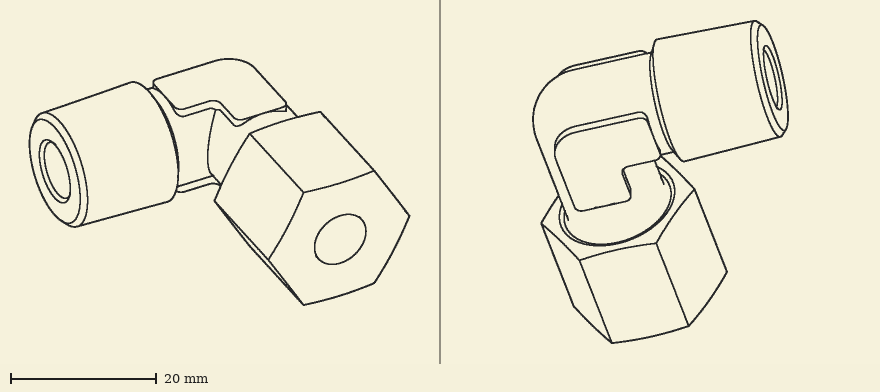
import cadquery as cq
import math


body_radius = 7.0
bore_radius = 4.0

pad_half_width = 4.0
pad_reach = 10.0
pad_corner_radius = 1.0
pad_inner_radius = 1.2
pad_height = body_radius

thread_end = 27.0
shoulder_start = 11.5
thread_large_radius = 8.59
shoulder_angle = math.radians(30)
thread_taper = 1 / 32
thread_end_chamfer = 0.75
bore_chamfer = 0.5

nut_start = 16.0
nut_length = 16.5
nut_end = nut_start + nut_length
nut_across_flats = 19.0
nut_corner_radius = nut_across_flats / math.sqrt(3)
nut_chamfer_angle = math.radians(15)

flare_start = 15.4
flare_radius = 0.6
flare_angle = math.radians(45)
recess_mouth_radius = 8.25
recess_floor_radius = 7.65


def make_elbow():
    """Plain arm along +X and spherical corner."""
    arm = cq.Workplane("YZ").circle(body_radius).extrude(nut_start)
    return arm.union(cq.Workplane("XY").sphere(body_radius))


def make_threaded_arm():
    """Arm along -Y: plain neck, conical shoulder, tapered thread and end chamfer."""
    shoulder_length = (thread_large_radius - body_radius) * math.tan(shoulder_angle)
    thread_start = shoulder_start + shoulder_length
    chamfer_start = thread_end - thread_end_chamfer
    thread_small_radius = thread_large_radius - (chamfer_start - thread_start) * thread_taper
    profile = (
        cq.Workplane("XY")
        .lineTo(body_radius, 0)
        .lineTo(body_radius, -shoulder_start)
        .lineTo(thread_large_radius, -thread_start)
        .lineTo(thread_small_radius, -chamfer_start)
        .lineTo(thread_small_radius - thread_end_chamfer, -thread_end)
        .lineTo(0, -thread_end)
        .close()
    )
    return profile.revolve(360, (0, 0, 0), (0, 1, 0))


def make_pads():
    """L-shaped block whose flat top and bottom stand out of the round arms."""
    outline = (
        cq.Workplane("XY", origin=(0, 0, -pad_height))
        .moveTo(-pad_half_width, -pad_reach)
        .lineTo(pad_half_width, -pad_reach)
        .lineTo(pad_half_width, -pad_half_width)
        .lineTo(pad_reach, -pad_half_width)
        .lineTo(pad_reach, pad_half_width)
        .lineTo(0, pad_half_width)
        .radiusArc((-pad_half_width, 0), -pad_half_width)
        .close()
    )
    block = outline.extrude(2 * pad_height)
    inner_corner = cq.NearestToPointSelector((pad_half_width, -pad_half_width, 0))
    block = block.edges("|Z").edges(inner_corner).fillet(pad_inner_radius)
    for x, y in (
        (-pad_half_width, -pad_reach),
        (pad_half_width, -pad_reach),
        (pad_reach, -pad_half_width),
        (pad_reach, pad_half_width),
    ):
        arm_corner = cq.NearestToPointSelector((x, y, 0))
        block = block.edges("|Z").edges(arm_corner).fillet(pad_corner_radius)
    return block


def make_nut():
    """Hexagon with both ends chamfered by a cone starting at the across-flats circle."""
    flat_radius = nut_across_flats / 2
    chamfer_length = (nut_corner_radius - flat_radius) * math.tan(nut_chamfer_angle)
    hexagon = (
        cq.Workplane("YZ", origin=(nut_start, 0, 0))
        .polygon(6, 2 * nut_corner_radius)
        .extrude(nut_length)
    )
    envelope = (
        cq.Workplane("XY")
        .moveTo(nut_start, 0)
        .lineTo(nut_start, flat_radius)
        .lineTo(nut_start + chamfer_length, nut_corner_radius)
        .lineTo(nut_end - chamfer_length, nut_corner_radius)
        .lineTo(nut_end, flat_radius)
        .lineTo(nut_end, 0)
        .close()
        .revolve(360, (0, 0, 0), (1, 0, 0))
    )
    return hexagon.intersect(envelope)


def make_recessed_nut():
    """Nut with a conical mouth around the arm, which flares into a cone to meet the floor of the mouth."""
    cone_start_x = flare_start + flare_radius * math.sin(flare_angle)
    cone_start_radius = body_radius + flare_radius * (1 - math.cos(flare_angle))
    floor_x = cone_start_x + (recess_floor_radius - cone_start_radius) / math.tan(flare_angle)
    mouth = (
        cq.Workplane("XY")
        .moveTo(nut_start, 0)
        .lineTo(nut_start, recess_mouth_radius)
        .lineTo(floor_x, recess_floor_radius)
        .lineTo(floor_x, 0)
        .close()
        .revolve(360, (0, 0, 0), (1, 0, 0))
    )
    flare = (
        cq.Workplane("XY")
        .moveTo(flare_start, 0)
        .lineTo(flare_start, body_radius)
        .radiusArc((cone_start_x, cone_start_radius), -flare_radius)
        .lineTo(floor_x, recess_floor_radius)
        .lineTo(floor_x, 0)
        .close()
        .revolve(360, (0, 0, 0), (1, 0, 0))
    )
    return make_nut().cut(mouth).union(flare)


def make_bore():
    """Bore through both arms with a spherical corner and a chamfered mouth on the thread."""
    along_x = cq.Workplane("YZ").circle(bore_radius).extrude(nut_end)
    along_y = cq.Workplane("XZ").circle(bore_radius).extrude(thread_end)
    mouth = cq.Workplane("XY").add(cq.Solid.makeCone(
        bore_radius + bore_chamfer,
        bore_radius,
        bore_chamfer,
        pnt=cq.Vector(0, -thread_end, 0),
        dir=cq.Vector(0, 1, 0),
    ))
    corner = cq.Workplane("XY").sphere(bore_radius)
    return along_x.union(along_y).union(corner).union(mouth)


result = (
    make_elbow()
    .union(make_threaded_arm())
    .union(make_pads())
    .union(make_recessed_nut())
    .cut(make_bore())
)